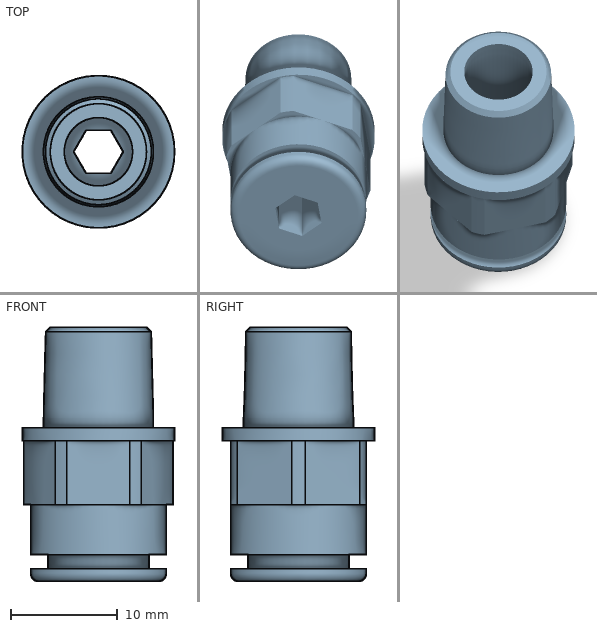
import cadquery as cq
import math

rim_top = 1.2
neck_top = 2.5
body_top = 7.2
hex_top = 13.15
flange_top = 14.4
collar_top = 15.3
total_height = 23.8

body_diameter = 12.7
neck_diameter = 9.5
flange_diameter = 14.27
collar_diameter = 10.3
stud_tip_diameter = 9.9
bore_diameter = 6.4

hex_across_flats = body_diameter
hex_corner_diameter = 14.0
key_across_flats = 4.0

rim_fillet = 0.75
tip_chamfer = 0.45

bore_floor = flange_top


def cylinder(diameter, bottom, top):
    """Upright cylinder on the Z axis between two heights."""
    return cq.Workplane("XY").workplane(offset=bottom).circle(diameter / 2).extrude(top - bottom)


def hexagon(across_flats, bottom, top):
    """Upright hexagonal prism with corners on X and flats facing Y."""
    across_corners = across_flats / math.cos(math.pi / 6)
    outline = cq.Workplane("XY").workplane(offset=bottom).polygon(6, across_corners)
    return outline.extrude(top - bottom)


def release_rim():
    """Disc at the bottom with a rounded lower edge."""
    return cylinder(body_diameter, 0, rim_top).faces("<Z").edges().fillet(rim_fillet)


def wrench_hex():
    """Hexagon whose corners are turned down to a cylinder."""
    corner_limit = cylinder(hex_corner_diameter, body_top, hex_top)
    return hexagon(hex_across_flats, body_top, hex_top).intersect(corner_limit)


def tapered_stud():
    """Tapered stud on a short straight collar, chamfered at the tip."""
    collar_radius = collar_diameter / 2
    tip_radius = stud_tip_diameter / 2
    profile = (
        cq.Workplane("XZ")
        .moveTo(0, flange_top)
        .lineTo(collar_radius, flange_top)
        .lineTo(collar_radius, collar_top)
        .lineTo(tip_radius, total_height - tip_chamfer)
        .lineTo(tip_radius - tip_chamfer, total_height)
        .lineTo(0, total_height)
        .close()
    )
    return profile.revolve(360, (0, 0), (0, 1))


outside = (
    release_rim()
    .union(cylinder(neck_diameter, rim_top, neck_top))
    .union(cylinder(body_diameter, neck_top, body_top))
    .union(wrench_hex())
    .union(cylinder(flange_diameter, hex_top, flange_top))
    .union(tapered_stud())
)

bore = cylinder(bore_diameter, bore_floor, total_height)
key_hole = hexagon(key_across_flats, 0, total_height)

result = outside.cut(bore).cut(key_hole)